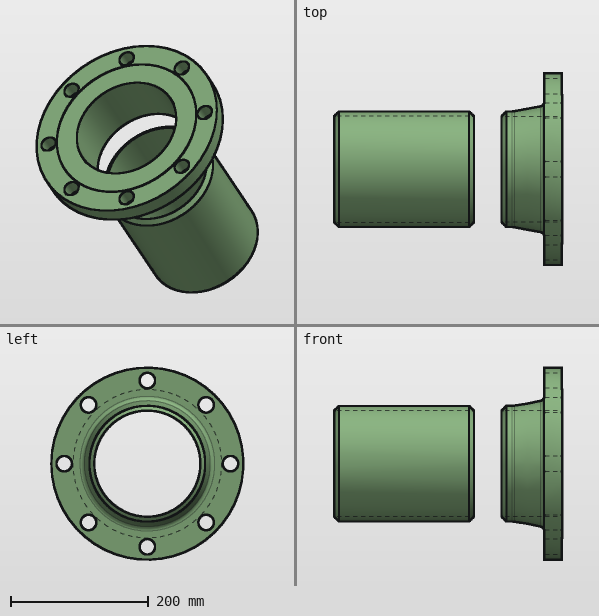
import cadquery as cq
import math


pipe_length = 203.5
pipe_diameter = 168.2
pipe_bore = 154.2
pipe_bevel_length = 7.3

overall_length = 331.7
flange_diameter = 279.3
flange_bore = 154.0
flange_thickness = 26.0
raised_face_diameter = 216.0
raised_face_height = 0.5
neck_start = 243.0
neck_diameter = 168.5
neck_bevel_length = 7.3
neck_straight_length = 15.3
neck_blend_length = 3.5
neck_blend_rise = 0.3
hub_diameter = 183.0
hub_fillet_length = 5.3

bolt_count = 8
bolt_hole_diameter = 22.2
bolt_circle_diameter = 241.5


def revolve_about_x(outline):
    """Turn a closed half section, drawn as (X, radius), about the X axis."""
    return outline.close().revolve(360, (0, 0, 0), (1, 0, 0))


def make_pipe():
    """Plain tube, bevelled through its whole wall to a sharp edge at both ends."""
    inner = pipe_bore / 2
    outer = pipe_diameter / 2
    outline = (
        cq.Workplane("XY")
        .moveTo(0, inner)
        .lineTo(pipe_bevel_length, outer)
        .lineTo(pipe_length - pipe_bevel_length, outer)
        .lineTo(pipe_length, inner)
    )
    return revolve_about_x(outline)


def make_flange_blank():
    """Neck bevelled to a sharp edge, tapered hub, disc and raised sealing face."""
    inner = flange_bore / 2
    neck_radius = neck_diameter / 2
    hub_radius = hub_diameter / 2
    disc_radius = flange_diameter / 2
    disc_back = overall_length - raised_face_height
    disc_front = disc_back - flange_thickness
    straight_end = neck_start + neck_straight_length
    blend_end = straight_end + neck_blend_length
    blend_radius = neck_radius + neck_blend_rise
    hub_end = disc_front - hub_fillet_length
    hub_angle = math.atan2(hub_radius - blend_radius, hub_end - blend_end)
    hub_fillet_radius = hub_fillet_length / (1 - math.sin(hub_angle))
    fillet_base_radius = hub_radius + hub_fillet_radius * math.cos(hub_angle)
    outline = (
        cq.Workplane("XY")
        .moveTo(neck_start, inner)
        .lineTo(neck_start + neck_bevel_length, neck_radius)
        .lineTo(straight_end, neck_radius)
        .tangentArcPoint((blend_end, blend_radius), relative=False)
        .lineTo(hub_end, hub_radius)
        .tangentArcPoint((disc_front, fillet_base_radius), relative=False)
        .lineTo(disc_front, disc_radius)
        .lineTo(disc_back, disc_radius)
        .lineTo(disc_back, raised_face_diameter / 2)
        .lineTo(overall_length, raised_face_diameter / 2)
        .lineTo(overall_length, inner)
    )
    return revolve_about_x(outline)


def cut_bolt_holes(flange):
    """Drill the bolt circle through the disc, with a hole on the +Y axis."""
    drills = (
        cq.Workplane("YZ", origin=(neck_start, 0, 0))
        .polarArray(bolt_circle_diameter / 2, 0, 360, bolt_count)
        .circle(bolt_hole_diameter / 2)
        .extrude(overall_length - neck_start)
    )
    return flange.cut(drills)


pipe = make_pipe()
flange = cut_bolt_holes(make_flange_blank())

result = cq.Compound.makeCompound([pipe.val(), *flange.vals()])